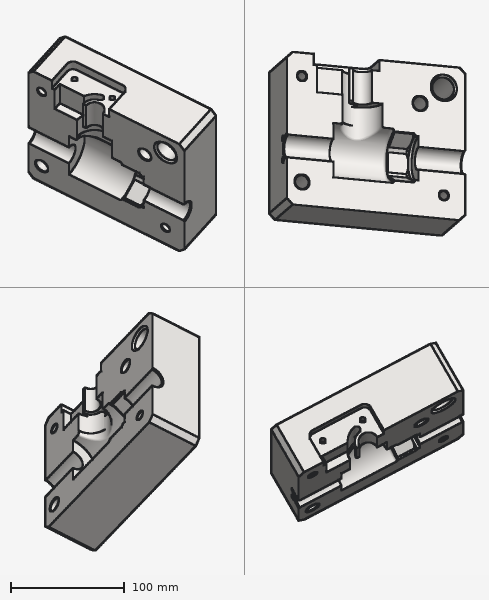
import cadquery as cq
import math

LENGTH = 165.0
DEPTH = 50.0
HEIGHT = 140.0
CORNER_CHAMFER = 5.5

AXIS_Z = 53.3
BODY_START = 42.9
BODY_END = 99.2
BODY_RADIUS = 24.9
BODY_END_ROUND = 2.6

NUT_END = 118.8
NUT_FLATS = 41.0
NUT_RADIUS = 22.5
NUT_CHAMFER = 1.6
NUT_ROOT = 1.0
COLLAR_END = 121.8
COLLAR_RADIUS = 20.1

PIPE_RADIUS = 10.4
PIPE_CHAMFER = 1.0

STEM_X = 70.0
NECK_TOP = 100.2
NECK_RADIUS = 18.3
NECK_ROUND = 2.0
STEM_RADIUS = 8.7

RECESS_START = 24.9
RECESS_END = 85.5
RECESS_DEPTH = 30.2
RECESS_FLOOR = HEIGHT - 10.0
RECESS_CORNER = 6.1

SLOT_INNER = 12.0
SLOT_RELIEF = 0.03
SLOT_OUTER = NECK_RADIUS + SLOT_RELIEF
SLOT_FLOOR = 83.0
SLOT_ANGLE = 76.0

POCKET_START = 27.9
POCKET_DEPTH = 8.1
POCKET_FLOOR = 105.0

DOWEL_DIAMETER = 8.2
DOWEL_SINK = 9.2
BOLT_DIAMETER = 12.7
BOLT_SINK = 13.9
GUIDE_DIAMETER = 20.1
GUIDE_SINK = 24.1
THROUGH_HOLES = [
    (14.0, 118.5, DOWEL_DIAMETER, DOWEL_SINK),
    (145.0, 21.5, DOWEL_DIAMETER, DOWEL_SINK),
    (14.0, 21.5, BOLT_DIAMETER, BOLT_SINK),
    (123.1, 103.6, BOLT_DIAMETER, BOLT_SINK),
    (145.0, 120.0, GUIDE_DIAMETER, GUIDE_SINK),
]

SCREW_DIAMETER = 5.0
SCREW_DEPTH = 9.9
DRILL_POINT_ANGLE = 118.0
TOP_SCREWS_X = (35.3, 75.2)
TOP_SCREWS_Y = 20.1
SIDE_SCREWS_Y = 10.9
SIDE_SCREWS_OFFSET = 9.9


def x_cylinder(radius, start, end):
    """Cylinder about the valve axis between two X positions."""
    return cq.Workplane("YZ", origin=(start, 0, AXIS_Z)).circle(radius).extrude(end - start)


def z_cylinder(radius, bottom, top):
    """Cylinder about the stem axis between two heights."""
    return cq.Workplane("XY", origin=(STEM_X, 0, bottom)).circle(radius).extrude(top - bottom)


def make_block():
    block = cq.Workplane("XY").box(LENGTH, DEPTH, HEIGHT, centered=False)
    return block.edges("|Y").chamfer(CORNER_CHAMFER)


def make_body_and_neck():
    body = x_cylinder(BODY_RADIUS, BODY_START, BODY_END)
    body = body.faces(">X").edges().fillet(BODY_END_ROUND)
    neck = z_cylinder(NECK_RADIUS, AXIS_Z, NECK_TOP)
    reach = NECK_RADIUS + NECK_ROUND
    seam_zone = cq.selectors.BoxSelector(
        (STEM_X - reach, -reach, AXIS_Z + NECK_ROUND),
        (STEM_X + reach, reach, NECK_TOP - NECK_ROUND),
        boundingbox=True,
    )
    return body.union(neck).edges(seam_zone).fillet(NECK_ROUND)


def hexagon_sketch(across_flats):
    """Hexagon on the body's end plane with one flat facing +Y."""
    corner_diameter = across_flats / math.cos(math.pi / 6)
    plane = cq.Workplane("YZ", origin=(BODY_END, 0, AXIS_Z)).transformed(rotate=(0, 0, 90))
    return plane.polygon(6, corner_diameter)


def make_nut():
    hexagon = hexagon_sketch(NUT_FLATS).extrude(NUT_END - BODY_END)
    root = hexagon_sketch(NUT_FLATS + 2 * NUT_ROOT).extrude(NUT_ROOT, taper=45)
    limit = x_cylinder(NUT_RADIUS, BODY_END, NUT_END).faces(">X").edges().chamfer(NUT_CHAMFER)
    nut = hexagon.union(root).intersect(limit)
    return nut.union(x_cylinder(COLLAR_RADIUS, NUT_END, COLLAR_END))


def make_pipe():
    pipe = x_cylinder(PIPE_RADIUS, 0, LENGTH)
    mouth_radius = PIPE_RADIUS + PIPE_CHAMFER
    mouth = (
        cq.Workplane("XZ", origin=(0, 0, AXIS_Z))
        .polyline([(0, 0), (0, mouth_radius), (mouth_radius, 0)])
        .close()
        .revolve(360, (0, 0, 0), (1, 0, 0))
    )
    far_mouth = mouth.mirror("YZ", (LENGTH / 2, 0, 0))
    return pipe.union(mouth).union(far_mouth)


def make_recess():
    recess = cq.Workplane("XY", origin=(RECESS_START, 0, RECESS_FLOOR)).box(
        RECESS_END - RECESS_START, RECESS_DEPTH, HEIGHT - RECESS_FLOOR, centered=False
    )
    return recess.edges("|Z and >Y").fillet(RECESS_CORNER)


def make_lever_slot():
    """Arc-shaped slot running from the parting face to its round tip."""
    middle_radius = (SLOT_INNER + SLOT_OUTER) / 2
    tip_radius = (SLOT_OUTER - SLOT_INNER) / 2

    def on_arc(radius, degrees):
        """Point at an angle turned from -X towards +Y around the stem."""
        angle = math.radians(degrees)
        return (-radius * math.cos(angle), radius * math.sin(angle))

    tip_advance = math.degrees(2 * math.asin(tip_radius / (2 * middle_radius)))
    return (
        cq.Workplane("XY", origin=(STEM_X, 0, SLOT_FLOOR))
        .moveTo(*on_arc(SLOT_OUTER, 0))
        .threePointArc(on_arc(SLOT_OUTER, SLOT_ANGLE / 2), on_arc(SLOT_OUTER, SLOT_ANGLE))
        .threePointArc(on_arc(middle_radius, SLOT_ANGLE + tip_advance), on_arc(SLOT_INNER, SLOT_ANGLE))
        .threePointArc(on_arc(SLOT_INNER, SLOT_ANGLE / 2), on_arc(SLOT_INNER, 0))
        .close()
        .extrude(RECESS_FLOOR - SLOT_FLOOR)
    )


def make_pocket():
    """Box that stops at the middle of the lever slot."""
    pocket_end = STEM_X - (SLOT_INNER + SLOT_OUTER) / 2
    return cq.Workplane("XY", origin=(POCKET_START, 0, POCKET_FLOOR)).box(
        pocket_end - POCKET_START, POCKET_DEPTH, RECESS_FLOOR - POCKET_FLOOR, centered=False
    )


def make_through_hole(x, z, diameter, sink_diameter):
    """Hole along Y with a 45 degree countersink on the parting face."""
    radius = diameter / 2
    sink_radius = sink_diameter / 2
    return (
        cq.Workplane("XY", origin=(x, 0, z))
        .polyline([(0, 0), (sink_radius, 0), (radius, sink_radius - radius), (radius, DEPTH), (0, DEPTH)])
        .close()
        .revolve(360, (0, 0, 0), (0, 1, 0))
    )


def make_screw_hole(mouth, direction):
    """Blind drilled hole running from its mouth along a direction."""
    radius = SCREW_DIAMETER / 2
    point_length = radius / math.tan(math.radians(DRILL_POINT_ANGLE / 2))
    start = cq.Vector(*mouth)
    axis = cq.Vector(*direction)
    drill = cq.Solid.makeCylinder(radius, SCREW_DEPTH, start, axis)
    point = cq.Solid.makeCone(radius, 0, point_length, start + axis * SCREW_DEPTH, axis)
    return cq.Workplane(drill).union(cq.Workplane(point))


result = make_block()
result = result.cut(make_body_and_neck())
result = result.cut(make_nut())
result = result.cut(make_pipe())
result = result.cut(z_cylinder(STEM_RADIUS, NECK_TOP, RECESS_FLOOR))
result = result.cut(make_recess())
result = result.cut(make_lever_slot())
result = result.cut(make_pocket())

for hole in THROUGH_HOLES:
    result = result.cut(make_through_hole(*hole))

for screw_x in TOP_SCREWS_X:
    result = result.cut(make_screw_hole((screw_x, TOP_SCREWS_Y, RECESS_FLOOR), (0, 0, -1)))

for side in (-1, 1):
    screw_z = AXIS_Z + side * SIDE_SCREWS_OFFSET
    result = result.cut(make_screw_hole((0, SIDE_SCREWS_Y, screw_z), (1, 0, 0)))